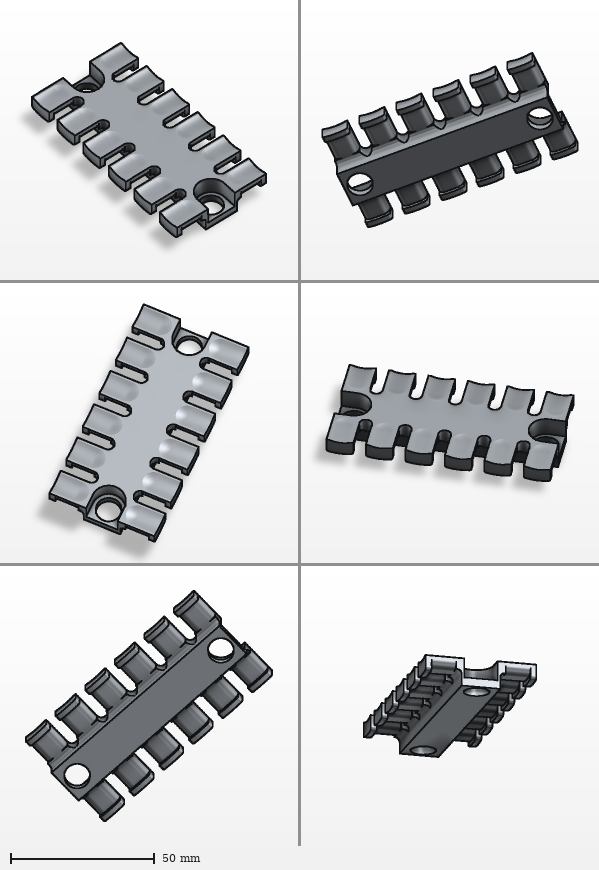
import cadquery as cq
import math

LENGTH = 79.5
WIDTH = 40.0
HEIGHT = 10.0

RAIL_WIDTH = 14.0
ARM_DEPTH = 4.1
RAIL_FILLET = 1.7
WING_DEPTH = ARM_DEPTH + RAIL_FILLET

FINGER_COUNT = 6
FINGER_PITCH = 14.0
FINGER_WIDTH = LENGTH - (FINGER_COUNT - 1) * FINGER_PITCH
SLOT_WIDTH = FINGER_PITCH - FINGER_WIDTH

LIP_DEPTH = 5.8
LIP_BOTTOM_RADIUS = 20.0
LIP_CORNER_RADIUS = 1.1
LIP_THICKNESS = 2.15
ARM_CORNER_RADIUS = 2.6
RECESS_END = 11.05

SADDLE_WIDTH = 7.7
SADDLE_DEPTH = 0.7
SADDLE_STRAIGHT = 8.75

HOLE_DIAMETER = 9.0
HOLE_INSET = 5.7
SEAT_WIDTH = 12.0
SEAT_DEPTH = 7.0

tip_y = WIDTH / 2
rail_y = RAIL_WIDTH / 2
first_finger_x = -(FINGER_COUNT - 1) * FINGER_PITCH / 2
finger_centers = [first_finger_x + i * FINGER_PITCH for i in range(FINGER_COUNT)]
slot_centers = [x + FINGER_PITCH / 2 for x in finger_centers[:-1]]


def on_both_edges(cutter):
    """Return a cutter made for the +Y edge together with its copy on the -Y edge."""
    return cutter.union(cutter.mirror("XZ"))


def repeated(cutter, centers):
    """Return copies of a cutter at each X position, on both long edges."""
    row = cq.Workplane("XY")
    for x in centers:
        row = row.add(cutter.translate((x, 0, 0)))
    return on_both_edges(row.combine())


def make_body():
    """T-shaped bar: wings as deep as the rail fillet, on a central rail."""
    wings = cq.Workplane("XY").box(LENGTH, WIDTH, WING_DEPTH, centered=(True, True, False))
    wings = wings.translate((0, 0, -WING_DEPTH))
    rail = cq.Workplane("XY").box(LENGTH, RAIL_WIDTH, HEIGHT, centered=(True, True, False))
    rail = rail.translate((0, 0, -HEIGHT))
    return wings.union(rail)


def space_below(kept_block, y_start, length):
    """Material to remove below a finger so that only the given block is left there."""
    half = FINGER_WIDTH / 2
    envelope = cq.Workplane("XY").box(FINGER_WIDTH, length, HEIGHT, centered=False)
    return envelope.translate((-half, y_start, -HEIGHT)).cut(kept_block)


def make_lip_underside():
    """Cutter for the lip: gently bowed bottom edge with rounded corners."""
    half = FINGER_WIDTH / 2
    side_depth = LIP_DEPTH - LIP_BOTTOM_RADIUS + math.sqrt(LIP_BOTTOM_RADIUS**2 - half**2)
    lip = (
        cq.Workplane("XZ", origin=(0, tip_y, 0))
        .moveTo(-half, 0)
        .lineTo(-half, -side_depth)
        .threePointArc((0, -LIP_DEPTH), (half, -side_depth))
        .lineTo(half, 0)
        .close()
        .extrude(LIP_THICKNESS)
        .edges("|Y").edges("<Z")
        .fillet(LIP_CORNER_RADIUS)
    )
    return space_below(lip, tip_y - LIP_THICKNESS, LIP_THICKNESS)


def make_arm_underside():
    """Cutter for the strap recess: flat bottom with large rounded corners."""
    length = RECESS_END - LIP_THICKNESS
    y_start = tip_y - RECESS_END
    arm = (
        cq.Workplane("XY")
        .box(FINGER_WIDTH, length, ARM_DEPTH, centered=False)
        .translate((-FINGER_WIDTH / 2, y_start, -ARM_DEPTH))
        .edges("|Y").edges("<Z")
        .fillet(ARM_CORNER_RADIUS)
    )
    return space_below(arm, y_start, length)


def make_wing_relief():
    """Space under the wings, from the lips to the fillet at the rail."""
    lip_y = tip_y - LIP_THICKNESS
    corner = RAIL_FILLET * (1 - math.sqrt(0.5))
    return on_both_edges(
        cq.Workplane("YZ", origin=(-LENGTH / 2, 0, 0))
        .moveTo(lip_y, -ARM_DEPTH)
        .lineTo(rail_y + RAIL_FILLET, -ARM_DEPTH)
        .threePointArc((rail_y + corner, -ARM_DEPTH - corner), (rail_y, -WING_DEPTH))
        .lineTo(rail_y, -HEIGHT)
        .lineTo(lip_y, -HEIGHT)
        .close()
        .extrude(LENGTH)
    )


def make_slot():
    """Gap between two fingers, its round end touching the rail."""
    radius = SLOT_WIDTH / 2
    end_y = rail_y + radius
    return (
        cq.Workplane("XY", origin=(0, 0, -HEIGHT))
        .moveTo(-radius, tip_y)
        .lineTo(-radius, end_y)
        .threePointArc((0, rail_y), (radius, end_y))
        .lineTo(radius, tip_y)
        .close()
        .extrude(HEIGHT)
    )


def make_saddle():
    """Shallow round trough running in from the tip, closed by half of a spherical dish."""
    half = SADDLE_WIDTH / 2
    radius = (half**2 + SADDLE_DEPTH**2) / (2 * SADDLE_DEPTH)
    middle_x = half / 2
    middle_z = radius - SADDLE_DEPTH - math.sqrt(radius**2 - middle_x**2)
    trough = (
        cq.Workplane("XZ", origin=(0, tip_y, 0))
        .moveTo(-half, 0)
        .threePointArc((0, -SADDLE_DEPTH), (half, 0))
        .close()
        .extrude(SADDLE_STRAIGHT)
    )
    dish = (
        cq.Workplane("XZ", origin=(0, tip_y - SADDLE_STRAIGHT, 0))
        .lineTo(half, 0)
        .threePointArc((middle_x, middle_z), (0, -SADDLE_DEPTH))
        .close()
        .revolve(180, (0, 0), (0, -1))
    )
    return trough.union(dish)


def make_screw_seat():
    """Open-ended seat and through hole at the -X end."""
    hole_x = HOLE_INSET - LENGTH / 2
    radius = SEAT_WIDTH / 2
    seat = (
        cq.Workplane("XY", origin=(0, 0, -SEAT_DEPTH))
        .moveTo(-LENGTH / 2, -radius)
        .lineTo(hole_x, -radius)
        .threePointArc((hole_x + radius, 0), (hole_x, radius))
        .lineTo(-LENGTH / 2, radius)
        .close()
        .extrude(SEAT_DEPTH)
    )
    hole = (
        cq.Workplane("XY", origin=(hole_x, 0, -HEIGHT))
        .circle(HOLE_DIAMETER / 2)
        .extrude(HEIGHT)
    )
    return seat.union(hole)


screw_seat = make_screw_seat()

result = make_body().cut(make_wing_relief())
result = result.cut(repeated(make_slot(), slot_centers))
result = result.cut(repeated(make_lip_underside(), finger_centers))
result = result.cut(repeated(make_arm_underside(), finger_centers))
result = result.cut(repeated(make_saddle(), finger_centers))
result = result.cut(screw_seat).cut(screw_seat.mirror("YZ"))